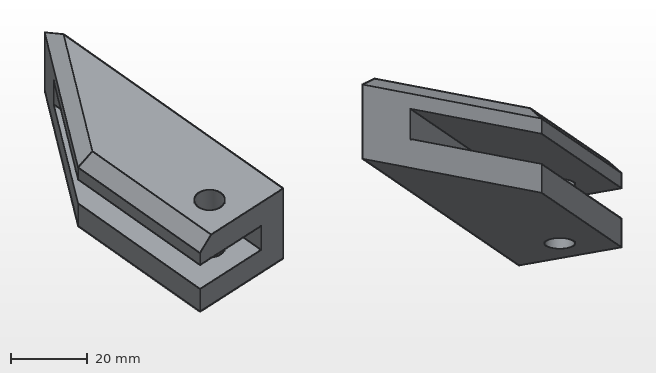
import cadquery as cq

length = 90.0
width = 30.0
height = 24.6
nose_length = 44.0
chamfer_size = 4.0
lower_jaw = 8.0
slot_height = 8.4
back_wall = 8.0
hole_diameter = 8.0
hole_from_end = 10.0
hole_from_front = 13.0


def make_body():
    """Plate with a slanted side running to a point at the back left."""
    outline = [
        (0, width),
        (nose_length, 0),
        (length, 0),
        (length, width),
    ]
    return cq.Workplane("XY").polyline(outline).close().extrude(height)


def chamfer_front_edges(body):
    """Bevel the top edges along the slanted side and the straight front."""
    slanted_edge = cq.selectors.NearestToPointSelector((nose_length / 2, width / 2, height))
    front_edge = cq.selectors.NearestToPointSelector(((nose_length + length) / 2, 0, height))
    return body.edges(slanted_edge + front_edge).chamfer(chamfer_size)


def make_slot():
    """Slot open to the front, the slanted side and the +X end."""
    slot_depth = width - back_wall
    return (
        cq.Workplane("XY")
        .box(length, slot_depth, slot_height, centered=False)
        .translate((0, 0, lower_jaw))
    )


def make_hole():
    """Vertical pin hole through both jaws."""
    return (
        cq.Workplane("XY")
        .center(length - hole_from_end, hole_from_front)
        .circle(hole_diameter / 2)
        .extrude(height)
    )


result = chamfer_front_edges(make_body()).cut(make_slot()).cut(make_hole())